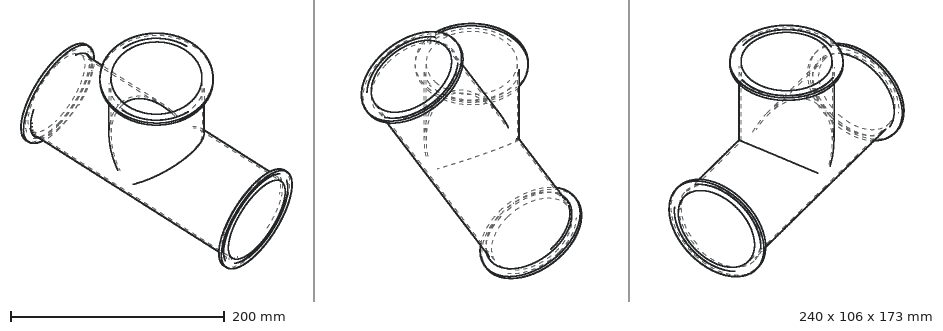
import cadquery as cq
import math

run_length = 240.0
branch_height = 120.0
tube_radius = 89.0 / 2
bore_radius = 85.2 / 2
flange_radius = 106.0 / 2

rim_thickness = 3.0
cone_angle = math.radians(20)
neck_fillet = 2.0

groove_radius = 48.2
groove_half_width = 2.0
groove_bottom_radius = 1.0
groove_lip_radius = 1.2


def make_pipe_outside(length):
    """Solid tube with its end flange, along +Z, end face at z = length."""
    tube = cq.Workplane("XY").circle(tube_radius).extrude(length)
    return tube.union(make_flange(length))


def make_flange(end):
    """Clamp flange: straight rim, conical back and fillet onto the tube."""
    rim_back = end - rim_thickness
    corner_z = rim_back - (flange_radius - tube_radius) * math.tan(cone_angle)
    turn = math.pi / 2 - cone_angle
    tangent_length = neck_fillet * math.tan(turn / 2)
    cone_end = (
        tube_radius + tangent_length * math.cos(cone_angle),
        corner_z + tangent_length * math.sin(cone_angle),
    )
    neck_z = corner_z - tangent_length
    fillet_middle = (
        tube_radius + neck_fillet * (1 - math.cos(turn / 2)),
        neck_z + neck_fillet * math.sin(turn / 2),
    )
    return (
        cq.Workplane("XZ")
        .moveTo(0, end)
        .lineTo(flange_radius, end)
        .lineTo(flange_radius, rim_back)
        .lineTo(*cone_end)
        .threePointArc(fillet_middle, (tube_radius, neck_z))
        .lineTo(0, neck_z)
        .close()
        .revolve(360, (0, 0), (0, 1))
    )


def make_groove(end):
    """Ring of material removed from an end face by the gasket groove."""
    center_distance = groove_bottom_radius + groove_lip_radius
    tilt = math.asin(groove_half_width / center_distance)
    depth = center_distance * (1 - math.cos(tilt))
    blend_offset = groove_bottom_radius * math.sin(tilt)
    blend_z = end - groove_lip_radius * (1 - math.cos(tilt))
    lip_offset = groove_half_width - groove_lip_radius * math.sin(tilt / 2)
    lip_z = end - groove_lip_radius * (1 - math.cos(tilt / 2))
    return (
        cq.Workplane("XZ")
        .moveTo(groove_radius - groove_half_width, end)
        .threePointArc((groove_radius - lip_offset, lip_z), (groove_radius - blend_offset, blend_z))
        .threePointArc((groove_radius, end - depth), (groove_radius + blend_offset, blend_z))
        .threePointArc((groove_radius + lip_offset, lip_z), (groove_radius + groove_half_width, end))
        .close()
        .revolve(360, (0, 0), (0, 1))
    )


def make_bore(length):
    return cq.Workplane("XY").circle(bore_radius).extrude(length)


def turn_to_x(shape, side):
    """Turn a shape built along +Z so that it points along +X or -X."""
    return shape.rotate((0, 0, 0), (0, 1, 0), side * 90)


half_run = run_length / 2

run = cq.Workplane("YZ").circle(tube_radius).extrude(half_run, both=True)
result = run.union(make_pipe_outside(branch_height))
for side in (-1, 1):
    result = result.union(turn_to_x(make_flange(half_run), side))

result = result.cut(cq.Workplane("YZ").circle(bore_radius).extrude(half_run, both=True))
result = result.cut(make_bore(branch_height))

result = result.cut(make_groove(branch_height))
for side in (-1, 1):
    result = result.cut(turn_to_x(make_groove(half_run), side))